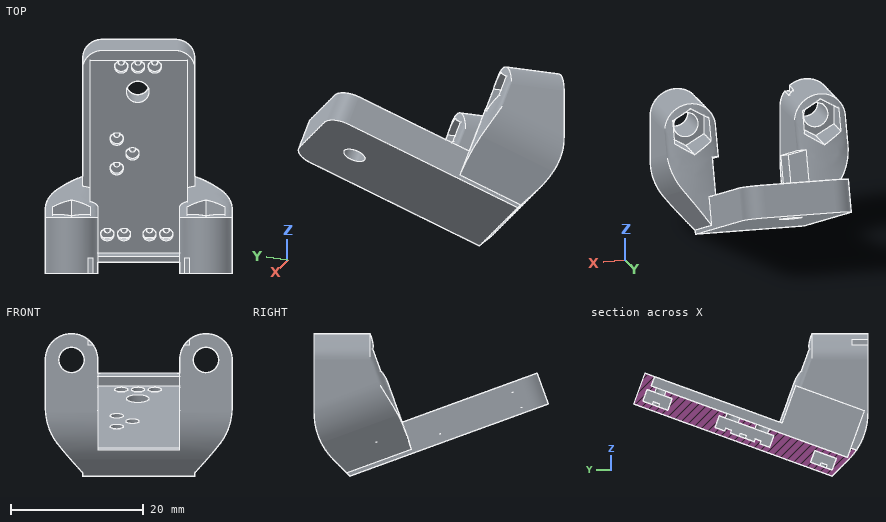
import cadquery as cq
import math


TILT = 20.0
TRAY_LENGTH = 32.0
TRAY_WIDTH = 17.0
TRAY_HEIGHT = 5.0
TRAY_CORNER_RADIUS = 3.0
TRAY_FRONT_Y = 5.44
FRONT_ALLOWANCE = 8.0

RECESS_DEPTH = 1.5
RECESS_SIDE_WALL = 1.15
RECESS_REAR_WALL = 1.6
RECESS_FRONT = -1.2
RECESS_CLEARANCE_TOP = 11.0
FLOOR_HEIGHT = TRAY_HEIGHT - RECESS_DEPTH

OVERALL_WIDTH = 28.36
OVERALL_HEIGHT = 21.61
LUG_RADIUS = 4.0
LUG_X = OVERALL_WIDTH / 2 - LUG_RADIUS
PIVOT_Z = OVERALL_HEIGHT - LUG_RADIUS
BARREL_LENGTH = 8.5
LUG_SIDE_START = 0.65
FLARE_ANGLE = 55.0
BLEND_RADIUS = 10.0
FRONT_BEVEL_ANGLE = 45.0
BIG = 60.0

PIVOT_DIAMETER = 3.8
NUT_SIDES = 6
NUT_ACROSS_FLATS = 5.7
NUT_TRAP_DEPTH = 2.5
NOTCH_LENGTH = 2.4
NOTCH_OUTER_X = 7.65
NOTCH_FLOOR_Z = 19.9

SCREW_DIAMETER = 3.4
SCREW_POSITION = (-0.15, 24.77)
SOCKET_DIAMETER = 2.0
SKIN_THICKNESS = 0.75
CHAMBER_DEPTH = 2.6
CHAMBER_SIDE_MARGIN = 2.7
CHAMBER_END_MARGIN = 2.0
CHAMBER_FRONT_MARGIN = 1.45
STUD_DIAMETER = 1.0
STUD_TOP_DEPTH = 2.15
PITCH = 2.54
REAR_ROW_X = -0.11
REAR_ROW_Y = 28.8
FRONT_ROW_Y = 1.78
FRONT_PAIR_X = (-3.49, 2.9)
TRIANGLE_X = -3.33
TRIANGLE_Y = 14.79
TRIANGLE_STEP = 2.38

REAR_SOCKETS = [(REAR_ROW_X + i * PITCH, REAR_ROW_Y) for i in (-1, 0, 1)]
TRIANGLE_SOCKETS = [
    (TRIANGLE_X, TRIANGLE_Y + TRIANGLE_STEP),
    (TRIANGLE_X + TRIANGLE_STEP, TRIANGLE_Y),
    (TRIANGLE_X, TRIANGLE_Y - TRIANGLE_STEP),
]
FRONT_SOCKETS = [(x + side * PITCH / 2, FRONT_ROW_Y) for x in FRONT_PAIR_X for side in (-1, 1)]


def tilt(body):
    """Move a body from the tray frame into the part frame."""
    return body.rotate((0, 0, 0), (1, 0, 0), TILT).translate((0, TRAY_FRONT_Y, 0))


def box(x_range, y_range, z_range):
    """Box between pairs of limits."""
    (x0, x1), (y0, y1), (z0, z1) = x_range, y_range, z_range
    return cq.Workplane("XY").box(x1 - x0, y1 - y0, z1 - z0, centered=False).translate((x0, y0, z0))


def blend_points(corner, slope_angle, slope_side):
    """Tangent points of the blend between a vertical line above a corner and a line sloping down from it."""
    setback = BLEND_RADIUS * math.tan(math.radians(90 - slope_angle) / 2)
    angle = math.radians(slope_angle)
    on_vertical = (corner[0], corner[1] + setback)
    on_slope = (
        corner[0] + slope_side * setback * math.cos(angle),
        corner[1] - setback * math.sin(angle),
    )
    return on_slope, on_vertical


def tray_blank():
    """Solid tray with rounded rear corners, in the tray frame."""
    half = TRAY_WIDTH / 2
    tray = box((-half, half), (-FRONT_ALLOWANCE, TRAY_LENGTH), (0, TRAY_HEIGHT))
    return tray.edges("|Z and >Y").fillet(TRAY_CORNER_RADIUS)


def recess():
    """Void above the recess floor, tall enough to undercut the lugs, in the tray frame."""
    half = TRAY_WIDTH / 2 - RECESS_SIDE_WALL
    return box(
        (-half, half),
        (RECESS_FRONT, TRAY_LENGTH - RECESS_REAR_WALL),
        (FLOOR_HEIGHT, RECESS_CLEARANCE_TOP),
    )


def lug_column():
    """Body swept square to the tray from the round rear end of the lug barrel."""
    tilt_angle = math.radians(TILT)
    side_y = (BARREL_LENGTH - TRAY_FRONT_Y) * math.cos(tilt_angle) + PIVOT_Z * math.sin(tilt_angle)
    bulge = LUG_RADIUS * math.sin(tilt_angle)
    column = box((LUG_X - LUG_RADIUS, LUG_X + LUG_RADIUS), (-BIG, side_y), (0, BIG))
    rear = cq.Workplane("XY").center(LUG_X, side_y).ellipse(LUG_RADIUS, bulge).extrude(BIG)
    return column.union(rear)


def lug_flare():
    """Cross-section of the lug, flaring out from the tray side, in the tray frame."""
    start = (TRAY_WIDTH / 2, LUG_SIDE_START)
    outer_x = OVERALL_WIDTH / 2
    rise = (outer_x - start[0]) * math.tan(math.radians(FLARE_ANGLE))
    on_slope, on_side = blend_points((outer_x, start[1] + rise), FLARE_ANGLE, -1)
    return (
        cq.Workplane("XZ")
        .moveTo(0, 0)
        .lineTo(start[0], 0)
        .lineTo(*start)
        .lineTo(*on_slope)
        .radiusArc(on_side, -BLEND_RADIUS)
        .lineTo(outer_x, BIG)
        .lineTo(0, BIG)
        .close()
        .extrude(BIG, both=True)
    )


def lug_front_outline():
    """Straight-sided outline with a round top, running along Y."""
    left = LUG_X - LUG_RADIUS
    right = LUG_X + LUG_RADIUS
    return (
        cq.Workplane("XZ")
        .moveTo(left, 0)
        .lineTo(right, 0)
        .lineTo(right, PIVOT_Z)
        .threePointArc((LUG_X, OVERALL_HEIGHT), (left, PIVOT_Z))
        .close()
        .extrude(-BIG)
    )


def make_lug():
    """Right-hand lug without its holes."""
    return tilt(lug_column().intersect(lug_flare())).intersect(lug_front_outline())


def front_trim():
    """Body bounded by the front face, the bevel under it and the blend between them."""
    corner_z = TRAY_FRONT_Y * math.tan(math.radians(FRONT_BEVEL_ANGLE))
    on_bevel, on_face = blend_points((0, corner_z), FRONT_BEVEL_ANGLE, 1)
    return (
        cq.Workplane("YZ")
        .moveTo(TRAY_FRONT_Y, 0)
        .lineTo(*on_bevel)
        .radiusArc(on_face, BLEND_RADIUS)
        .lineTo(0, BIG)
        .lineTo(BIG, BIG)
        .lineTo(BIG, 0)
        .close()
        .extrude(BIG, both=True)
    )


def lug_cuts():
    """Pivot hole, hexagonal nut trap and corner notch of the right-hand lug."""
    pivot_axis = cq.Workplane("XZ").center(LUG_X, PIVOT_Z)
    pivot_hole = pivot_axis.circle(PIVOT_DIAMETER / 2).extrude(-BIG)
    nut_across_corners = NUT_ACROSS_FLATS / math.cos(math.pi / NUT_SIDES)
    nut_trap = (
        cq.Workplane("XZ", origin=(LUG_X, BARREL_LENGTH - NUT_TRAP_DEPTH, PIVOT_Z))
        .transformed(rotate=(0, 0, 90))
        .polygon(NUT_SIDES, nut_across_corners)
        .extrude(-BIG)
    )
    notch = box((0, NOTCH_OUTER_X), (0, NOTCH_LENGTH), (NOTCH_FLOOR_Z, OVERALL_HEIGHT))
    return pivot_hole.union(nut_trap).union(notch)


def cylinders(positions, diameter, bottom, top):
    """Upright cylinders in the tray frame."""
    plane = cq.Workplane("XY", origin=(0, 0, bottom))
    return plane.pushPoints(positions).circle(diameter / 2).extrude(top - bottom)


def socket_group(positions, front_margin):
    """Void of a socket group: holes through a thin skin into a chamber with a stud under each hole."""
    xs = [x for x, y in positions]
    ys = [y for x, y in positions]
    chamber_floor = FLOOR_HEIGHT - CHAMBER_DEPTH
    chamber = box(
        (min(xs) - CHAMBER_SIDE_MARGIN, max(xs) + CHAMBER_SIDE_MARGIN),
        (min(ys) - front_margin, max(ys) + CHAMBER_END_MARGIN),
        (chamber_floor, FLOOR_HEIGHT - SKIN_THICKNESS),
    )
    studs = cylinders(positions, STUD_DIAMETER, chamber_floor, FLOOR_HEIGHT - STUD_TOP_DEPTH)
    holes = cylinders(positions, SOCKET_DIAMETER, FLOOR_HEIGHT - STUD_TOP_DEPTH, FLOOR_HEIGHT)
    return chamber.cut(studs).union(holes)


lug = make_lug()
body = tilt(tray_blank()).union(lug).union(lug.mirror("YZ"))
body = body.intersect(front_trim()).cut(tilt(recess()))

right_cuts = lug_cuts()
body = body.cut(right_cuts).cut(right_cuts.mirror("YZ"))

screw_hole = cylinders([SCREW_POSITION], SCREW_DIAMETER, 0, FLOOR_HEIGHT)
body = body.cut(tilt(screw_hole))
body = body.cut(tilt(socket_group(REAR_SOCKETS, CHAMBER_END_MARGIN)))
body = body.cut(tilt(socket_group(TRIANGLE_SOCKETS, CHAMBER_END_MARGIN)))
body = body.cut(tilt(socket_group(FRONT_SOCKETS, CHAMBER_FRONT_MARGIN)))

result = body